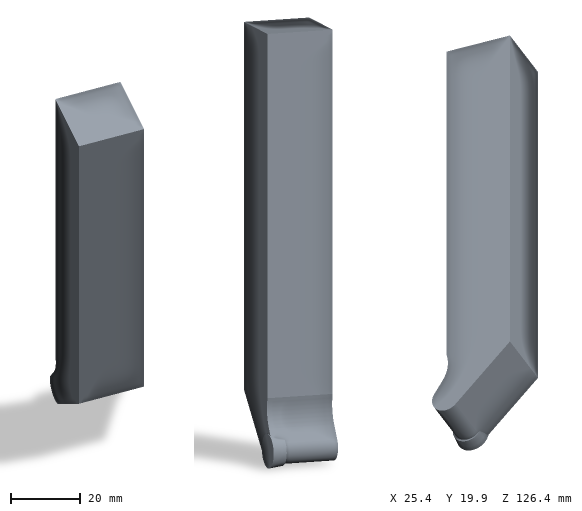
import cadquery as cq
import math

tool_length = 126.4
tool_width = 25.4
shank_size = 19.8
shank_left = tool_width - shank_size

insert_radius = 4.99
insert_thickness = 4.2
insert_clearance_angle = 7.0
insert_overhang = 0.1

nose_center_x = 5.3
nose_center_z = 5.3
nose_radius = 4.3
nose_flat_angle = 57.0
nose_flat_length = 4.8
nose_back_angle = 45.0

relief_radius = 10.4


def nose_point(slope_angle, side):
    """Point where a line of the given slope is tangent to the nose; side is -1 for -X, +1 for +X."""
    slope = math.radians(slope_angle)
    return (
        nose_center_x + side * nose_radius * math.sin(slope),
        nose_center_z - side * nose_radius * math.cos(slope),
    )


def make_insert():
    taper = math.radians(insert_clearance_angle)
    seat_radius = insert_radius - insert_thickness * math.tan(taper)
    cone = cq.Solid.makeCone(
        insert_radius,
        seat_radius,
        insert_thickness,
        pnt=cq.Vector(insert_radius, insert_overhang, insert_radius),
        dir=cq.Vector(0, -1, 0),
    )
    return cq.Workplane(cone)


def make_holder(insert):
    flat_start = nose_point(nose_flat_angle, -1)
    back_start = nose_point(nose_back_angle, 1)
    flat_slope = math.radians(nose_flat_angle)
    flat_end = (
        flat_start[0] + nose_flat_length * math.cos(flat_slope),
        flat_start[1] + nose_flat_length * math.sin(flat_slope),
    )
    relief_center_x = flat_end[0] - relief_radius * math.sin(flat_slope)
    relief_center_z = flat_end[1] + relief_radius * math.cos(flat_slope)
    relief_apex = (relief_center_x + relief_radius, relief_center_z)
    relief_top_z = relief_center_z + math.sqrt(relief_radius**2 - (shank_left - relief_center_x) ** 2)
    back_rise = (tool_width - back_start[0]) * math.tan(math.radians(nose_back_angle))
    nose_bottom = (nose_center_x, nose_center_z - nose_radius)
    blank = (
        cq.Workplane("XZ")
        .moveTo(shank_left, tool_length)
        .lineTo(shank_left, relief_top_z)
        .threePointArc(relief_apex, flat_end)
        .lineTo(*flat_start)
        .threePointArc(nose_bottom, back_start)
        .lineTo(tool_width, back_start[1] + back_rise)
        .lineTo(tool_width, tool_length)
        .close()
        .extrude(shank_size)
    )
    return blank.cut(insert)


insert = make_insert()
holder = make_holder(insert)
result = cq.Compound.makeCompound([holder.val(), insert.val()])